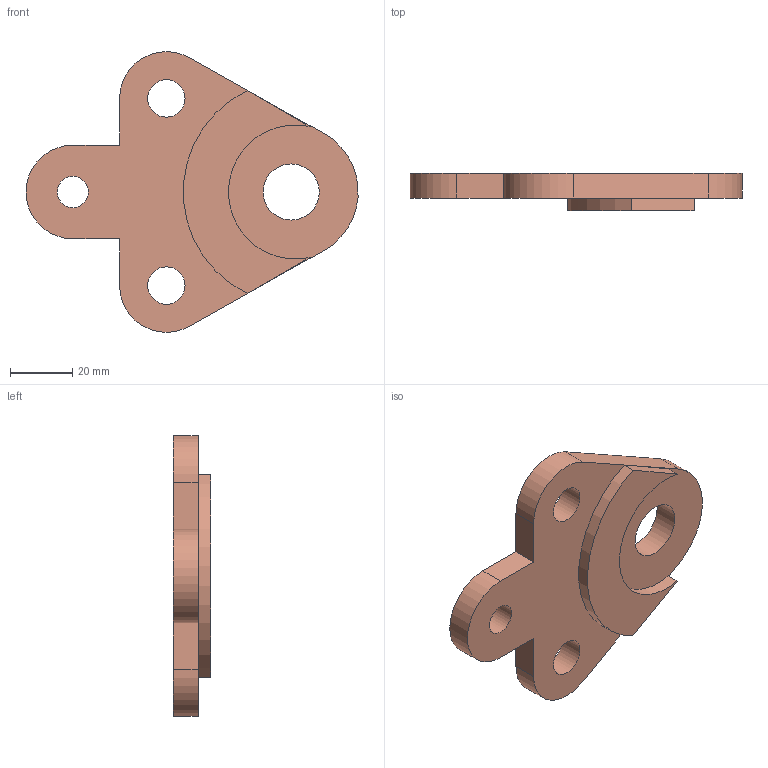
import cadquery as cq
import math

plate_thickness = 8.0
lobe_radius = 15.0
side_lobe_offset = 30.0
tail_lobe_x = -30.0
nose_x = 40.0
nose_radius = 21.5

side_hole_diameter = 12.0
tail_hole_diameter = 10.0
nose_hole_diameter = 18.0

pad_height = 4.0
pad_center_x = 41.4
pad_inner_radius = nose_radius
pad_width = 14.5
pad_outer_radius = pad_inner_radius + pad_width
pad_edge_angle = math.radians(30.0)

center_distance = math.hypot(nose_x, side_lobe_offset)
edge_angle = (
    math.atan2(side_lobe_offset, nose_x)
    - math.asin((nose_radius - lobe_radius) / center_distance)
)


def polar_point(center, radius, angle):
    return (center[0] + radius * math.cos(angle), center[1] + radius * math.sin(angle))


def mirrored(point):
    return (point[0], -point[1])


def front_sketch():
    """Sketch plane with local axes X and Z that extrudes toward -Y."""
    return cq.Workplane("XZ")


edge_normal = math.pi / 2 - edge_angle
side_center = (0.0, side_lobe_offset)
edge_start = polar_point(side_center, lobe_radius, edge_normal)
edge_end = polar_point((nose_x, 0.0), nose_radius, edge_normal)


def make_plate():
    lobe_mid = polar_point(side_center, lobe_radius, (edge_normal + math.pi) / 2)
    lobe_left = (-lobe_radius, side_lobe_offset)
    inner_corner = (-lobe_radius, lobe_radius)
    tail_top = (tail_lobe_x, lobe_radius)
    return (
        front_sketch()
        .moveTo(*edge_start)
        .threePointArc(lobe_mid, lobe_left)
        .lineTo(*inner_corner)
        .lineTo(*tail_top)
        .threePointArc((tail_lobe_x - lobe_radius, 0.0), mirrored(tail_top))
        .lineTo(*mirrored(inner_corner))
        .lineTo(*mirrored(lobe_left))
        .threePointArc(mirrored(lobe_mid), mirrored(edge_start))
        .lineTo(*mirrored(edge_end))
        .threePointArc((nose_x + nose_radius, 0.0), edge_end)
        .close()
        .extrude(plate_thickness)
    )


def pad_outer_corner():
    """Point where the outer pad arc meets the sloped plate edge."""
    edge_distance = nose_x * math.cos(edge_normal) + nose_radius
    offset = edge_distance - pad_center_x * math.cos(edge_normal)
    angle = edge_normal + math.acos(offset / pad_outer_radius)
    return polar_point((pad_center_x, 0.0), pad_outer_radius, angle)


def pad_inner_corner(outer_corner):
    """Point where the straight pad end, run from the outer corner, meets the inner arc."""
    normal = math.pi / 2 - pad_edge_angle
    offset = (
        (outer_corner[0] - pad_center_x) * math.cos(normal)
        + outer_corner[1] * math.sin(normal)
    )
    angle = normal + math.acos(offset / pad_inner_radius)
    return polar_point((pad_center_x, 0.0), pad_inner_radius, angle)


def make_pad():
    outer_corner = pad_outer_corner()
    inner_corner = pad_inner_corner(outer_corner)
    return (
        front_sketch()
        .workplane(offset=plate_thickness)
        .moveTo(*outer_corner)
        .threePointArc((pad_center_x - pad_outer_radius, 0.0), mirrored(outer_corner))
        .lineTo(*mirrored(inner_corner))
        .threePointArc((pad_center_x - pad_inner_radius, 0.0), inner_corner)
        .close()
        .extrude(pad_height)
    )


def make_hole(x, z, diameter):
    return front_sketch().center(x, z).circle(diameter / 2).extrude(plate_thickness)


result = make_plate().union(make_pad())
hole_places = [
    (0.0, side_lobe_offset, side_hole_diameter),
    (0.0, -side_lobe_offset, side_hole_diameter),
    (tail_lobe_x, 0.0, tail_hole_diameter),
    (nose_x, 0.0, nose_hole_diameter),
]
for hole_x, hole_z, hole_diameter in hole_places:
    result = result.cut(make_hole(hole_x, hole_z, hole_diameter))